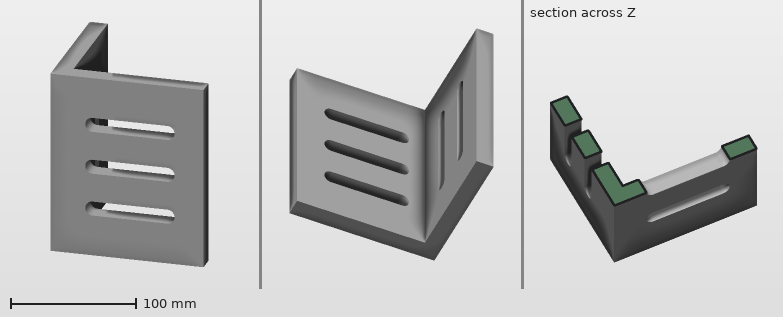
import cadquery as cq

width = 127.0
depth = 114.3
height = 152.4
thickness = 15.0

slot_width = 12.0
slot_pitch = 36.0
front_slot_length = 74.0
front_slot_center_x = 66.0
front_slot_count = 3
side_slot_length = 87.0
side_slot_count = 2

mid_height = height / 2


def make_angle():
    """L-shaped section extruded upward."""
    return (
        cq.Workplane("XY")
        .moveTo(0, 0)
        .lineTo(width, 0)
        .lineTo(width, thickness)
        .lineTo(thickness, thickness)
        .lineTo(thickness, depth)
        .lineTo(0, depth)
        .close()
        .extrude(height)
    )


def make_front_slot(z):
    """Horizontal round-ended slot through the X leg."""
    return (
        cq.Workplane("XZ")
        .center(front_slot_center_x, z)
        .slot2D(front_slot_length, slot_width)
        .extrude(-thickness)
    )


def make_side_slot(y):
    """Vertical round-ended slot through the Y leg."""
    return (
        cq.Workplane("YZ")
        .center(y, mid_height)
        .slot2D(side_slot_length, slot_width, angle=90)
        .extrude(thickness)
    )


result = make_angle()

lowest_front_slot_z = mid_height - slot_pitch * (front_slot_count - 1) / 2
for index in range(front_slot_count):
    result = result.cut(make_front_slot(lowest_front_slot_z + index * slot_pitch))

clear_leg_center_y = (thickness + depth) / 2
first_side_slot_y = clear_leg_center_y - slot_pitch * (side_slot_count - 1) / 2
for index in range(side_slot_count):
    result = result.cut(make_side_slot(first_side_slot_y + index * slot_pitch))